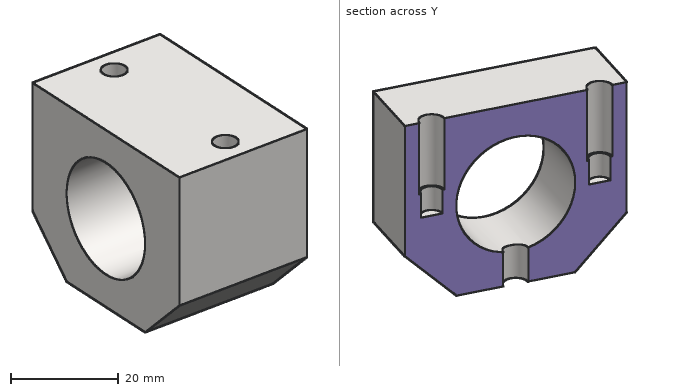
import cadquery as cq

width = 45.0
depth = 30.0
height = 38.0
corner_cut = 10.5

bore_diameter = 24.0

hole_spacing = 34.0
hole_mouth_diameter = 5.0
hole_mouth_depth = 15.0
hole_tip_diameter = 4.3
hole_total_depth = 20.0

bottom_hole_diameter = 5.0


def make_block():
    """Rectangular block centred on the origin with its two lower edges cut at 45 degrees."""
    return cq.Workplane("XY").box(width, depth, height).faces("<Z").edges("|Y").chamfer(corner_cut)


def make_bore():
    return cq.Workplane("XZ").circle(bore_diameter / 2).extrude(depth / 2, both=True)


def make_top_hole(x):
    """Hole going down from the top face, narrower towards its flat floor."""
    top = cq.Workplane("XY", origin=(x, 0, height / 2))
    mouth = top.circle(hole_mouth_diameter / 2).extrude(-hole_mouth_depth)
    tip = top.circle(hole_tip_diameter / 2).extrude(-hole_total_depth)
    return mouth.union(tip)


def make_bottom_hole():
    underside = cq.Workplane("XY", origin=(0, 0, -height / 2))
    return underside.circle(bottom_hole_diameter / 2).extrude(height / 2)


result = make_block().cut(make_bore()).cut(make_bottom_hole())
for side in (-1, 1):
    result = result.cut(make_top_hole(side * hole_spacing / 2))